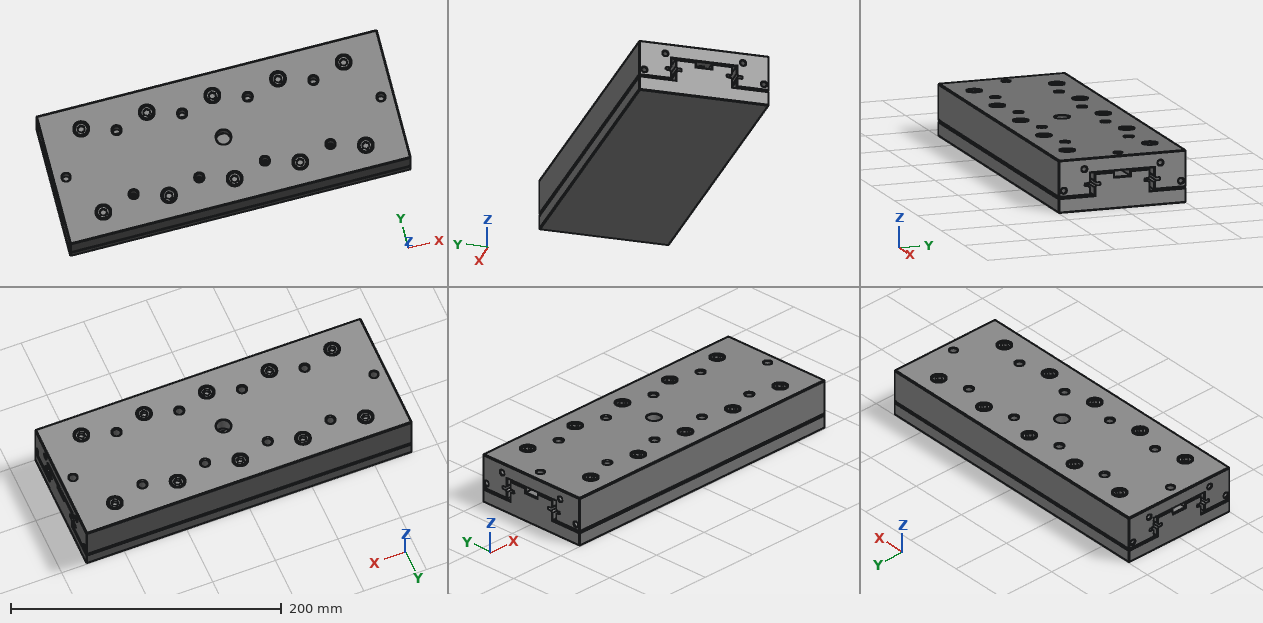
import cadquery as cq
import math

LENGTH = 260.0
WIDTH = 100.0
HEIGHT = 40.0
EDGE_CHAMFER = 0.8
HOLE_CHAMFER = 0.5

CLEARANCE = 0.5

FLANGE_HEIGHT = 11.5
RAIL_TOP = 28.0
RAIL_HALF_WIDTH = 21.8
RAIL_SLOT_WIDTH = 12.0
RAIL_SLOT_FLOOR = 24.2

TABLE_BOTTOM = FLANGE_HEIGHT + CLEARANCE
CHANNEL_CEILING = RAIL_TOP + CLEARANCE
CHANNEL_HALF_WIDTH = 25.0

RACEWAY_Z = HEIGHT / 2
RACEWAY_Y = (RAIL_HALF_WIDTH + CHANNEL_HALF_WIDTH) / 2
VEE_HALF_DIAGONAL = 4.2
RELIEF_HEIGHT = 2.3
RELIEF_LENGTH = 12.5

PITCH = WIDTH / 2
SCREW_COLUMNS = 5
SCREW_Y = 32.5
COUNTERBORE_DIAMETER = 11.0
COUNTERBORE_DEPTH = 6.8
HEAD_DIAMETER = 10.0
HEAD_CHAMFER = 0.5
HEAD_HEIGHT = 6.5
SOCKET_ACROSS_FLATS = 5.0
SOCKET_DEPTH = 3.0

MOUNT_COLUMNS = 4
MOUNT_Y = PITCH / 2
MOUNT_DIAMETER = 6.0
MOUNT_CHAMFER = 0.9
END_HOLE_X = 120.0
END_HOLE_DIAMETER = 6.0
CENTRE_HOLE_DIAMETER = 11.0

TAP_PLACES = [(30.0, 32.0), (46.0, 17.0)]
TAP_DIAMETER = 4.0
TAP_DEPTH = 10.5
TAP_TIP_ANGLE = 118
TAP_TIP = TAP_DIAMETER / 2 / math.tan(math.radians(TAP_TIP_ANGLE / 2))


def long_block(outline):
    """Extrude a YZ outline along X, centred on the origin."""
    return cq.Workplane("YZ").polyline(outline).close().extrude(LENGTH / 2, both=True)


def mirrored(half):
    """Complete an outline given as its +Y half."""
    return half + [(-y, z) for y, z in reversed(half)]


def raceways():
    """Cutter for both raceways; each hollows the table wall and the rail side that face each other."""
    cutter = cq.Workplane("YZ")
    places = [(-RACEWAY_Y, RACEWAY_Z), (RACEWAY_Y, RACEWAY_Z)]
    vees = cutter.pushPoints(places).polygon(4, 2 * VEE_HALF_DIAGONAL).extrude(LENGTH, both=True)
    reliefs = cutter.pushPoints(places).slot2D(RELIEF_LENGTH, RELIEF_HEIGHT).extrude(LENGTH, both=True)
    return vees.union(reliefs)


def row(count, y):
    """Points at the common pitch along X, mirrored in Y."""
    return [((i - (count - 1) / 2) * PITCH, side * y) for i in range(count) for side in (-1, 1)]


def revolved(outline):
    """Solid of revolution about Z from an outline given as (radius, z) points."""
    return cq.Workplane("XZ").polyline(outline).close().revolve(axisStart=(0, 0), axisEnd=(0, 1))


def bore(diameter, depth, chamfer=HOLE_CHAMFER, tip=0.0):
    """Cutter for a chamfered hole that enters downwards at the origin, with an optional conical tip."""
    r = diameter / 2
    return revolved([
        (0, 0),
        (r + chamfer, 0),
        (r, -chamfer),
        (r, -depth),
        (0, -depth - tip),
    ])


def cut_at(body, cutter, points):
    """Cut a downward cutter into the top face at each point."""
    for x, y in points:
        body = body.cut(cutter.translate((x, y, HEIGHT)))
    return body


def screw_head():
    """Chamfered head with a hexagon socket, standing on the floor of a counterbore below the origin."""
    head_top = HEAD_HEIGHT - COUNTERBORE_DEPTH
    head = (
        cq.Workplane("XY")
        .workplane(offset=-COUNTERBORE_DEPTH)
        .circle(HEAD_DIAMETER / 2)
        .extrude(HEAD_HEIGHT)
        .faces(">Z")
        .chamfer(HEAD_CHAMFER)
    )
    socket = (
        cq.Workplane("XY")
        .workplane(offset=head_top)
        .polygon(6, SOCKET_ACROSS_FLATS, circumscribed=True)
        .extrude(-SOCKET_DEPTH)
    )
    return head.cut(socket)


def make_base():
    half = [
        (WIDTH / 2, 0),
        (WIDTH / 2, FLANGE_HEIGHT),
        (RAIL_HALF_WIDTH, FLANGE_HEIGHT),
        (RAIL_HALF_WIDTH, RAIL_TOP),
        (RAIL_SLOT_WIDTH / 2, RAIL_TOP),
        (RAIL_SLOT_WIDTH / 2, RAIL_SLOT_FLOOR),
    ]
    base = long_block(mirrored(half))
    base = base.faces("<X or >X or <Y or >Y or <Z").edges().chamfer(EDGE_CHAMFER)
    return base.cut(raceways())


def cut_top_holes(table):
    through = HEIGHT - CHANNEL_CEILING
    end_places = [(-END_HOLE_X, 0), (END_HOLE_X, 0)]
    table = cut_at(table, bore(MOUNT_DIAMETER, through, MOUNT_CHAMFER), row(MOUNT_COLUMNS, MOUNT_Y))
    table = cut_at(table, bore(END_HOLE_DIAMETER, through), end_places)
    return cut_at(table, bore(CENTRE_HOLE_DIAMETER, through), [(0, 0)])


def add_screws(table):
    """Counterbore the table and stand a screw head, one piece with it, in each counterbore."""
    places = row(SCREW_COLUMNS, SCREW_Y)
    table = cut_at(table, bore(COUNTERBORE_DIAMETER, COUNTERBORE_DEPTH), places)
    head = screw_head()
    for x, y in places:
        table = table.union(head.translate((x, y, HEIGHT)))
    return table


def cut_end_taps(table):
    tap = bore(TAP_DIAMETER, TAP_DEPTH, tip=TAP_TIP)
    for end in (-1, 1):
        cutter = tap.rotate((0, 0, 0), (0, 1, 0), end * 90)
        for distance, z in TAP_PLACES:
            for side in (-1, 1):
                table = table.cut(cutter.translate((end * LENGTH / 2, side * distance, z)))
    return table


def make_table():
    half = [
        (CHANNEL_HALF_WIDTH, CHANNEL_CEILING),
        (CHANNEL_HALF_WIDTH, TABLE_BOTTOM),
        (WIDTH / 2, TABLE_BOTTOM),
        (WIDTH / 2, HEIGHT),
    ]
    table = long_block(mirrored(half))
    table = table.faces("<X or >X or <Y or >Y or >Z").edges().chamfer(EDGE_CHAMFER)
    table = table.cut(raceways())
    table = cut_top_holes(table)
    table = add_screws(table)
    return cut_end_taps(table)


base = make_base()
table = make_table()
result = cq.Compound.makeCompound([base.val(), table.val()])